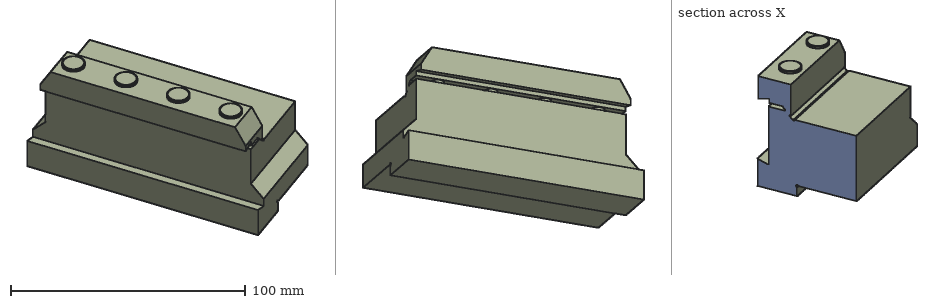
import cadquery as cq

LENGTH = 110.0
DEPTH = 48.0
HEIGHT = 55.0

UPPER_LENGTH = 97.9
SHOULDER_BOTTOM = 15.8
SHOULDER_RISE = (LENGTH - UPPER_LENGTH) / 2
SEAT_Y = 5.4
SEAT_BOTTOM = 12.1
SEAT_FLOOR_FRONT = 5.0
LIP_TOP = 13.5
FOOT_DEPTH = 19.2
FOOT_HEIGHT = 5.1
BLOCK_TOP = 37.2
RIDGE_TOP = 40.4
RIDGE_BACK = 13.6
VALLEY_Z = 36.7
VALLEY_Y = RIDGE_BACK + RIDGE_TOP - VALLEY_Z
VALLEY_BACK = 17.8
RELIEF_SIZE = 0.9

CLAMP_FRONT = 0.3
CLAMP_BACK = 16.3
CLAMP_TOP = 53.9
CLAMP_TOP_LENGTH = 87.8
CLAMP_CHAMFER_BOTTOM = 45.5
CLAMP_HOOK_Z = 42.7
CLAMP_JAW_Z = 44.0
CLAMP_JAW_Y = 5.7
CLAMP_UNDERSIDE = 42.0
CLAMP_HEEL_Z = 38.5

SCREW_COUNT = 4
SCREW_PITCH = 25.0
SCREW_Y = 9.2
SHANK_DIAMETER = 5.9
HEAD_DIAMETER = 9.9
HEAD_TOP_DIAMETER = 9.0
HEAD_BEVEL_HEIGHT = 0.2
SHANK_OVERLAP = 1.1


def ridge_y(z):
    """Y of the 45 degree contact face between block and clamp at height z."""
    return RIDGE_BACK + RIDGE_TOP - z


def extrude_side_profile(points, length):
    """Extrude a (y, z) outline along X, centred on X = 0."""
    return cq.Workplane("YZ").polyline(points).close().extrude(length / 2, both=True)


def make_block():
    block = extrude_side_profile(
        [
            (0, 0),
            (FOOT_DEPTH, 0),
            (FOOT_DEPTH, FOOT_HEIGHT),
            (DEPTH, FOOT_HEIGHT),
            (DEPTH, BLOCK_TOP),
            (VALLEY_BACK + BLOCK_TOP - VALLEY_Z, BLOCK_TOP),
            (VALLEY_BACK, VALLEY_Z),
            (VALLEY_Y, VALLEY_Z),
            (RIDGE_BACK, RIDGE_TOP),
            (SEAT_Y, RIDGE_TOP),
            (SEAT_Y, SEAT_BOTTOM),
            (SEAT_FLOOR_FRONT, SEAT_BOTTOM),
            (0, LIP_TOP),
        ],
        LENGTH,
    )
    relief = (
        cq.Workplane("XY")
        .box(LENGTH, RELIEF_SIZE, RELIEF_SIZE)
        .rotate((0, 0, 0), (1, 0, 0), 45)
        .translate((0, FOOT_DEPTH, FOOT_HEIGHT))
    )
    shouldered_outline = (
        cq.Workplane("XZ")
        .polyline(
            [
                (-LENGTH / 2, 0),
                (LENGTH / 2, 0),
                (LENGTH / 2, SHOULDER_BOTTOM),
                (UPPER_LENGTH / 2, SHOULDER_BOTTOM + SHOULDER_RISE),
                (UPPER_LENGTH / 2, HEIGHT),
                (-UPPER_LENGTH / 2, HEIGHT),
                (-UPPER_LENGTH / 2, SHOULDER_BOTTOM + SHOULDER_RISE),
                (-LENGTH / 2, SHOULDER_BOTTOM),
            ]
        )
        .close()
        .extrude(-DEPTH)
    )
    return block.cut(relief).intersect(shouldered_outline)


def make_clamp():
    bar = extrude_side_profile(
        [
            (CLAMP_FRONT, CLAMP_TOP),
            (CLAMP_FRONT, CLAMP_HOOK_Z),
            (CLAMP_JAW_Y, CLAMP_JAW_Z),
            (CLAMP_JAW_Y, CLAMP_UNDERSIDE),
            (ridge_y(CLAMP_UNDERSIDE), CLAMP_UNDERSIDE),
            (ridge_y(CLAMP_HEEL_Z), CLAMP_HEEL_Z),
            (CLAMP_BACK, CLAMP_HEEL_Z),
            (CLAMP_BACK, CLAMP_TOP),
        ],
        UPPER_LENGTH,
    )
    sloped_ends = (
        cq.Workplane("XZ")
        .polyline(
            [
                (-UPPER_LENGTH / 2, 0),
                (UPPER_LENGTH / 2, 0),
                (UPPER_LENGTH / 2, CLAMP_CHAMFER_BOTTOM),
                (CLAMP_TOP_LENGTH / 2, CLAMP_TOP),
                (-CLAMP_TOP_LENGTH / 2, CLAMP_TOP),
                (-UPPER_LENGTH / 2, CLAMP_CHAMFER_BOTTOM),
            ]
        )
        .close()
        .extrude(-DEPTH)
    )
    return bar.intersect(sloped_ends)


def make_screw(x):
    shank_bottom = RIDGE_TOP - SHANK_OVERLAP
    shank_top = CLAMP_UNDERSIDE + SHANK_OVERLAP
    shank = (
        cq.Workplane("XY", origin=(x, SCREW_Y, shank_bottom))
        .circle(SHANK_DIAMETER / 2)
        .extrude(shank_top - shank_bottom)
    )
    bevel_bottom = HEIGHT - HEAD_BEVEL_HEIGHT
    head = (
        cq.Workplane("XZ", origin=(x, SCREW_Y, 0))
        .polyline(
            [
                (0, CLAMP_TOP),
                (HEAD_DIAMETER / 2, CLAMP_TOP),
                (HEAD_DIAMETER / 2, bevel_bottom),
                (HEAD_TOP_DIAMETER / 2, HEIGHT),
                (0, HEIGHT),
            ]
        )
        .close()
        .revolve(360, (0, 0), (0, 1))
    )
    return shank.union(head)


result = make_block().union(make_clamp())
for index in range(SCREW_COUNT):
    screw_x = (index - (SCREW_COUNT - 1) / 2) * SCREW_PITCH
    result = result.union(make_screw(screw_x))